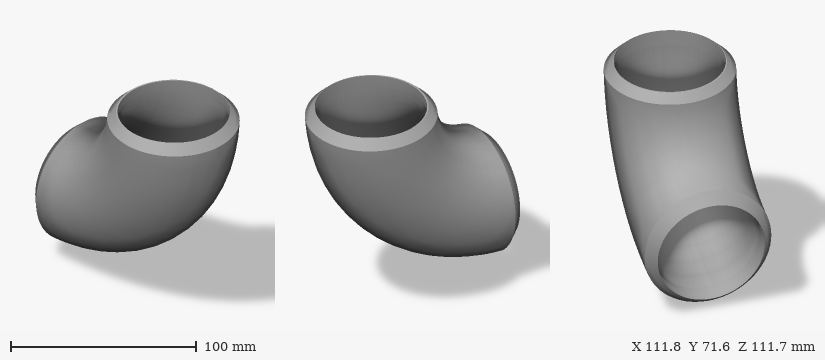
import cadquery as cq

bend_radius = 76.1
outer_radius = 35.8
bore_radius = 30.3
bend_angle = 91
bevel_tilt = 1.1
top_land_radius = 30.6
top_bevel_length = 5.0
side_bevel_length = 6.7
side_bevel_radius = 29.8
cutter_margin = 4.5


def bend(radius):
    """Torus segment from the top end round to the side end, centred on the origin."""
    return (
        cq.Workplane("XY")
        .center(bend_radius, 0)
        .circle(radius)
        .revolve(bend_angle, (-bend_radius, 0), (-bend_radius, 1))
    )


def bevel_cutter(end_radius, length):
    """Ring around Z, with a conical inside that widens downward from radius end_radius at Z = 0."""
    axial_per_radial = length / (outer_radius - end_radius)
    ring_radius = outer_radius + cutter_margin
    depth = (ring_radius - end_radius) * axial_per_radial
    height = cutter_margin
    inner_radius = end_radius - height / axial_per_radial
    return (
        cq.Workplane("XZ")
        .polyline([(inner_radius, height), (ring_radius, height), (ring_radius, -depth)])
        .close()
        .revolve(360, (0, 0), (0, 1))
    )


pipe = bend(outer_radius).cut(bend(bore_radius))

top_cutter = (
    bevel_cutter(top_land_radius, top_bevel_length)
    .rotate((0, 0, 0), (0, 1, 0), bevel_tilt)
    .translate((bend_radius, 0, 0))
)

side_cutter = (
    bevel_cutter(side_bevel_radius, side_bevel_length)
    .rotate((0, 0, 0), (0, 1, 0), -90 - bevel_tilt)
    .translate((0, 0, -bend_radius))
)

result = pipe.cut(top_cutter).cut(side_cutter)